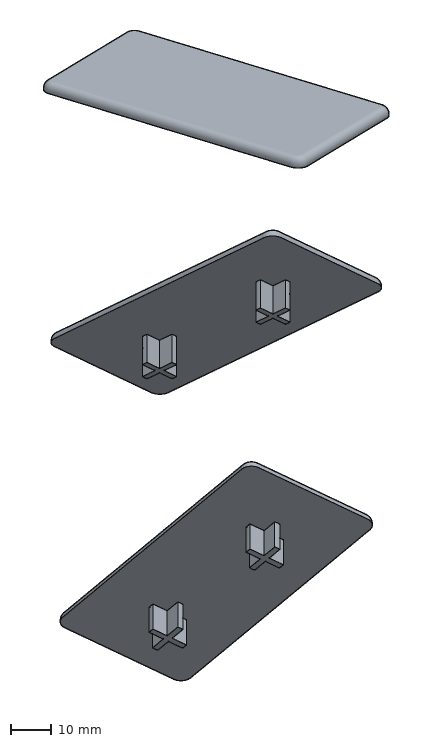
import cadquery as cq

plate_length = 80.0
plate_width = 40.0
plate_thickness = 2.5
corner_radius = 3.0
top_edge_radius = 2.0

post_spacing = plate_length / 2
post_diameter = 10.5
post_height = 8.0
arm_thickness = 1.6


def make_plate():
    """Rounded plate with its underside at Z = 0 and a filleted top edge."""
    plate = cq.Workplane("XY").box(
        plate_length, plate_width, plate_thickness, centered=(True, True, False)
    )
    plate = plate.edges("|Z").fillet(corner_radius)
    return plate.faces(">Z").edges().fillet(top_edge_radius)


def make_post(x):
    """Two crossed ribs hanging below the plate, with tips rounded to one cylinder."""
    base = cq.Workplane("XY").center(x, 0)
    rib_along_x = base.rect(2 * post_diameter, arm_thickness).extrude(-post_height)
    rib_along_y = base.rect(arm_thickness, 2 * post_diameter).extrude(-post_height)
    envelope = base.circle(post_diameter / 2).extrude(-post_height)
    return rib_along_x.union(rib_along_y).intersect(envelope)


result = make_plate()
for side in (-1, 1):
    result = result.union(make_post(side * post_spacing / 2))